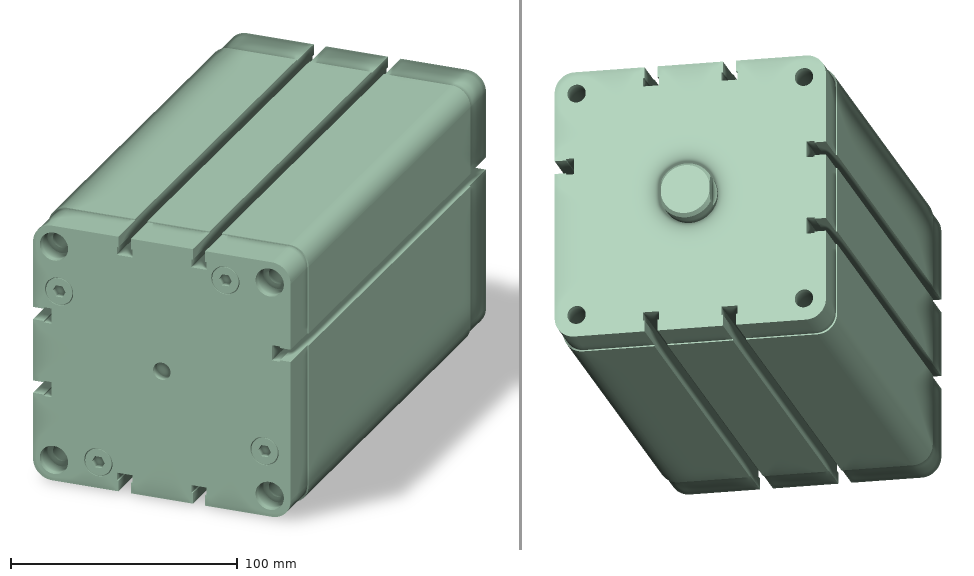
import cadquery as cq

total_length = 236.5
body_size = 124.0
cap_inset = 0.6
cap_size = body_size - 2 * cap_inset
cap_length = 19.5
corner_radius = 9.0

rod_diameter = 25.0
rod_protrusion = 10.0
rod_flat_width = 22.0
rod_flat_length = 7.0
rod_chamfer_radial = 1.5
rod_chamfer_axial = 2.0

slot_spacing = 35.5
slot_neck_width = 6.0
slot_head_width = 7.3
slot_depth = 9.5
slot_head_depth = 3.8

mount_hole_spacing = 102.9
mount_hole_diameter = 8.3
mount_recess_diameter = 13.5
mount_recess_depth = 9.0
screw_near_offset = 30.3
screw_far_offset = 49.0
screw_recess_diameter = 13.5
screw_head_diameter = 12.5
screw_gap_depth = 1.5
hex_across_corners = 6.1
hex_depth = 2.8
center_hole_diameter = 8.3
center_hole_depth = 4.0

rear_face_y = total_length - rod_protrusion
body_length = rear_face_y - 2 * cap_length


def plane_at(y):
    """Plane normal to +Y; its local x is -X and its local y is +Z."""
    return cq.Workplane(cq.Plane(origin=(0, y, 0), xDir=(-1, 0, 0), normal=(0, 1, 0)))


def rounded_block(size, y_start, length):
    block = plane_at(y_start).rect(size, size).extrude(length)
    return block.edges("|Y").fillet(corner_radius)


def drill(diameter, depth, x=0.0, z=0.0):
    """Round cutter going into the front face."""
    return plane_at(0).center(-x, z).circle(diameter / 2).extrude(depth)


def housing():
    front_cap = rounded_block(cap_size, 0, cap_length)
    body = rounded_block(body_size, cap_length, body_length)
    rear_cap = rounded_block(cap_size, cap_length + body_length, cap_length)
    return front_cap.union(body).union(rear_cap)


def slot_cutter(offset, turn):
    """T-slot in the top face at X = offset, turned about the Y axis."""
    face_z = body_size / 2
    floor_z = face_z - slot_depth
    from_front_floor = (True, False, False)
    neck = cq.Workplane("XY").box(slot_neck_width, rear_face_y, slot_depth, centered=from_front_floor)
    head = cq.Workplane("XY").box(slot_head_width, rear_face_y, slot_head_depth, centered=from_front_floor)
    cutter = neck.union(head).translate((offset, 0, floor_z))
    return cutter.rotate((0, 0, 0), (0, 1, 0), turn)


def cut_slots(part):
    half = slot_spacing / 2
    for turn in (0, 90, 180, 270):
        for offset in (-half, half):
            if turn == 90 and offset > 0:
                continue
            part = part.cut(slot_cutter(offset, turn))
    return part


def cut_mount_holes(part):
    half = mount_hole_spacing / 2
    for x in (-half, half):
        for z in (-half, half):
            part = part.cut(drill(mount_hole_diameter, rear_face_y, x, z))
            part = part.cut(drill(mount_recess_diameter, mount_recess_depth, x, z))
    return part


def cut_cap_screws(part):
    """Ring gap around each flush screw head, and its hexagon socket."""
    near, far = screw_near_offset, screw_far_offset
    for x, z in ((-far, near), (near, far), (far, -near), (-near, -far)):
        recess = drill(screw_recess_diameter, screw_gap_depth, x, z)
        head = drill(screw_head_diameter, screw_gap_depth, x, z)
        socket = plane_at(0).center(-x, z).polygon(6, hex_across_corners).extrude(hex_depth)
        part = part.cut(recess.cut(head)).cut(socket)
    return part


def rod_end():
    radius = rod_diameter / 2
    tip_radius = radius - rod_chamfer_radial
    rod = (
        cq.Workplane("XY")
        .moveTo(0, rear_face_y)
        .lineTo(radius, rear_face_y)
        .lineTo(radius, total_length - rod_chamfer_axial)
        .lineTo(tip_radius, total_length)
        .lineTo(0, total_length)
        .close()
        .revolve(360, (0, rear_face_y, 0), (0, total_length, 0))
    )
    flat_x = rod_flat_width / 2
    flat_end_y = total_length - rod_flat_length
    run_out = radius - flat_x
    flat = (
        cq.Workplane("XY")
        .moveTo(flat_x, total_length)
        .lineTo(flat_x, flat_end_y)
        .lineTo(radius, flat_end_y - run_out)
        .lineTo(radius, total_length)
        .close()
        .extrude(radius, both=True)
    )
    return rod.cut(flat).cut(flat.mirror("YZ"))


result = housing()
result = cut_slots(result)
result = cut_mount_holes(result)
result = cut_cap_screws(result)
result = result.cut(drill(center_hole_diameter, center_hole_depth))
result = result.union(rod_end()).translate((0, -total_length / 2, 0))